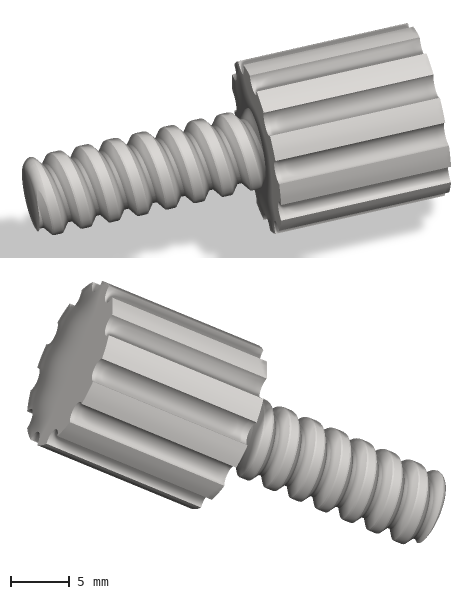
import cadquery as cq
import math

total_length = 35.0
head_length = 15.0
head_diameter = 15.0
grip_count = 11
grip_radius = 1.05

shank_radius = 3.45
root_radius = 2.65
tip_fillet = 0.98
tip_clearance = 0.05
thread_turns = 8
root_width = 0.35
groove_start = 0.1
core_overlap = 0.15

flank_end = (3.3, 0.65)
crest_bulge = (3.43, 0.77)
crest_edge = (shank_radius, 0.9)

shank_length = total_length - head_length
head_radius = head_diameter / 2
thread_pitch = shank_length / thread_turns


def make_head():
    """Knob along +Z, with half-round grip flutes centred on its rim."""
    flutes = (
        cq.Workplane("XY")
        .polarArray(head_radius, 0, 360, grip_count)
        .circle(grip_radius)
        .extrude(head_length)
    )
    return cq.Workplane("XY").circle(head_radius).extrude(head_length).cut(flutes)


def ridge_profile():
    """Closed outline of the ridge as (radius, height) points about its middle."""
    half_root = root_width / 2
    groove_side = [
        (root_radius - core_overlap, half_root),
        (root_radius, half_root),
        flank_end,
        crest_bulge,
        crest_edge,
    ]
    upper = [(radius, thread_pitch / 2 - half_groove) for radius, half_groove in groove_side]
    lower = [(radius, -height) for radius, height in upper]
    return lower + upper[::-1]


def make_thread_ridge():
    """Right-handed helical ridge that runs past both ends of the shank."""
    turns = thread_turns + 2
    helix_length = turns * thread_pitch
    start = groove_start - 1.5 * thread_pitch
    outline = [(radius, height + start) for radius, height in ridge_profile()]
    helices = [
        cq.Wire.makeHelix(thread_pitch, helix_length, radius).translate(cq.Vector(0, 0, height))
        for radius, height in outline
    ]
    faces = [
        cq.Face.makeRuledSurface(helix, following)
        for helix, following in zip(helices, helices[1:] + helices[:1])
    ]
    for end in (0, helix_length):
        corners = [cq.Vector(radius, 0, height + end) for radius, height in outline]
        faces.append(cq.Face.makeFromWires(cq.Wire.makePolygon(corners, close=True)))
    return cq.Workplane(obj=cq.Solid.makeSolid(cq.Shell.makeShell(faces)))


def make_envelope():
    """Body that trims the ridge and core to length and rounds the tip at Z = 0."""
    tangent_radius = shank_radius + tip_clearance
    flat_radius = tangent_radius - tip_fillet
    diagonal = tip_fillet * math.sqrt(0.5)
    outside = shank_radius + tip_fillet
    return (
        cq.Workplane("XZ")
        .lineTo(flat_radius, 0)
        .threePointArc((flat_radius + diagonal, tip_fillet - diagonal), (tangent_radius, tip_fillet))
        .lineTo(outside, tip_fillet)
        .lineTo(outside, shank_length)
        .lineTo(0, shank_length)
        .close()
        .revolve(360, (0, 0, 0), (0, 1, 0))
    )


def make_shank():
    """Threaded shank along +Z: a plain core with the ridge wound around it."""
    envelope = make_envelope()
    ridge = make_thread_ridge().intersect(envelope)
    core = cq.Workplane("XY").circle(root_radius).extrude(shank_length).intersect(envelope)
    return core.union(ridge)


screw = make_shank().union(make_head().translate((0, 0, shank_length)))
result = screw.rotate((0, 0, 0), (1, 0, 0), -90).translate((0, -total_length / 2, 0))